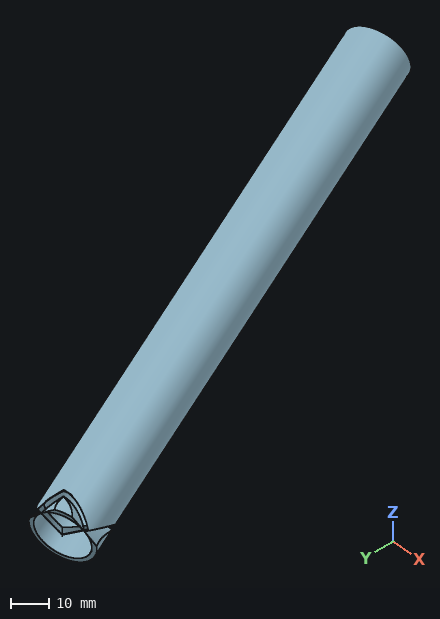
import cadquery as cq
import math

OVERALL_HEIGHT = 165.8

TUBE_DIAMETER = 20.0
WALL = 1.5
TUBE_RADIUS = TUBE_DIAMETER / 2
BORE_RADIUS = TUBE_RADIUS - WALL

LEG_TILT = math.radians(27.8)
LEG_HEADING = math.radians(-52.7)
LEG_AXIS = cq.Vector(
    math.sin(LEG_TILT) * math.cos(LEG_HEADING),
    math.sin(LEG_TILT) * math.sin(LEG_HEADING),
    math.cos(LEG_TILT),
)
END_RIM_RISE = TUBE_RADIUS * math.sin(LEG_TILT)
LEG_LENGTH = (OVERALL_HEIGHT - 2 * END_RIM_RISE) / math.cos(LEG_TILT)

CORNER_REACH = 2 * TUBE_DIAMETER


def make_uncut_leg():
    """Plain tube with flat ends square to the leg axis."""
    foot_plane = cq.Plane(origin=(0, 0, 0), normal=LEG_AXIS)
    return cq.Workplane(foot_plane).circle(TUBE_RADIUS).circle(BORE_RADIUS).extrude(LEG_LENGTH)


def make_corner(radius):
    """Solid round bars along +X and +Y, joined by a mitre at the origin."""
    centre_line = cq.Workplane("XY").polyline([(CORNER_REACH, 0), (0, 0), (0, CORNER_REACH)])
    bar_end = cq.Workplane("YZ", origin=(CORNER_REACH, 0, 0))
    return bar_end.circle(radius).sweep(centre_line, transition="right")


def make_coped_leg():
    """Leg with its foot coped to fit against the outside of the corner tubes."""
    return make_uncut_leg().cut(make_corner(TUBE_RADIUS))


def make_foot_pieces():
    """Both pieces of the leg's foot that lie inside the bore of the corner tubes."""
    return make_uncut_leg().intersect(make_corner(BORE_RADIUS))


def make_foot_collar():
    """Large foot piece, which curves around the side of the leg facing along the tubes."""
    return make_foot_pieces().solids(">X")


def make_heel_sliver():
    """Small foot piece, in the outer heel of the mitred corner."""
    return make_foot_pieces().solids("<X")


leg = make_coped_leg()
foot_collar = make_foot_collar()
heel_sliver = make_heel_sliver()

result = cq.Compound.makeCompound([leg.solids().val(), foot_collar.val(), heel_sliver.val()])